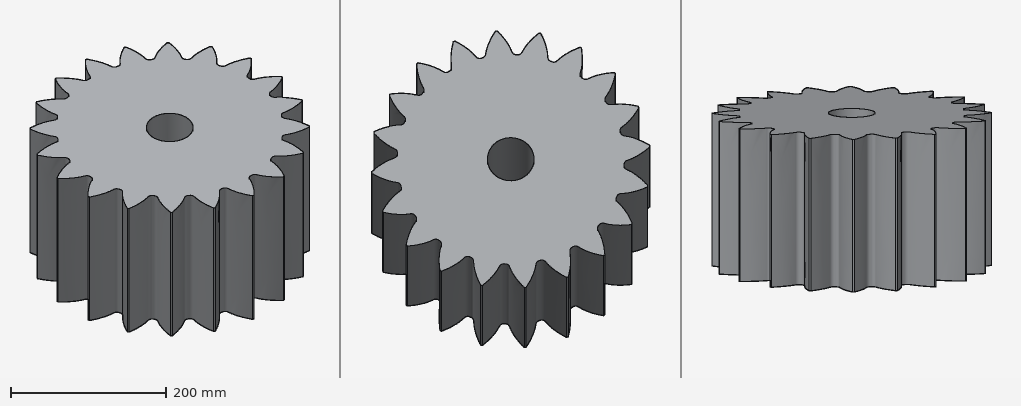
import cadquery as cq
import math

TEETH = 20
TIP_RADIUS = 180.0
PITCH_RADIUS = 162.0
ROOT_RADIUS = 146.0
PRESSURE_ANGLE = math.radians(29.5)
ROOT_FILLET_RADIUS = 5.8
FACE_WIDTH = 200.0
BORE_DIAMETER = 60.0

FLANK_POINTS = 7
BASE_RADIUS = PITCH_RADIUS * math.cos(PRESSURE_ANGLE)
TOOTH_PITCH = 2 * math.pi / TEETH
HALF_TOOTH_AT_PITCH = TOOTH_PITCH / 4


def polar(radius, angle):
    return (radius * math.cos(angle), radius * math.sin(angle))


def involute(radius):
    """Polar angle swept by the base-circle involute on reaching a radius."""
    pressure_angle = math.acos(BASE_RADIUS / radius)
    return math.tan(pressure_angle) - pressure_angle


def half_tooth_angle(radius):
    """Angle between the tooth centreline and its flank at a radius."""
    return HALF_TOOTH_AT_PITCH + involute(PITCH_RADIUS) - involute(radius)


def flank(center_angle, side):
    """Flank points from root to tip; side is -1 (clockwise) or +1."""
    step = (TIP_RADIUS - ROOT_RADIUS) / (FLANK_POINTS - 1)
    radii = [ROOT_RADIUS + i * step for i in range(FLANK_POINTS)]
    return [polar(r, center_angle + side * half_tooth_angle(r)) for r in radii]


def base_plane():
    """Workplane on the lower end face."""
    return cq.Workplane("XY").workplane(offset=-FACE_WIDTH / 2)


def gear_outline():
    """Closed outline of involute flanks joined by tip and root arcs."""
    outline = base_plane().moveTo(*flank(0, -1)[0])
    for tooth in range(TEETH):
        center_angle = tooth * TOOTH_PITCH
        rising = flank(center_angle, -1)
        falling = flank(center_angle, 1)[::-1]
        tip_middle = polar(TIP_RADIUS, center_angle)
        space_middle = polar(ROOT_RADIUS, center_angle + TOOTH_PITCH / 2)
        next_tooth_root = flank(center_angle + TOOTH_PITCH, -1)[0]
        outline = (
            outline.spline(rising[1:], includeCurrent=True)
            .threePointArc(tip_middle, falling[0])
            .spline(falling[1:], includeCurrent=True)
            .threePointArc(space_middle, next_tooth_root)
        )
    return outline.close()


def fillet_roots(gear):
    """Round the axial corners where the flanks meet the root circle."""
    def is_at_root(edge):
        center = edge.Center()
        return math.hypot(center.x, center.y) < PITCH_RADIUS

    return gear.edges("|Z").filter(is_at_root).fillet(ROOT_FILLET_RADIUS)


def bore_cutter():
    """Cylinder for the central through bore."""
    return base_plane().circle(BORE_DIAMETER / 2).extrude(FACE_WIDTH)


gear = fillet_roots(gear_outline().extrude(FACE_WIDTH))
result = gear.cut(bore_cutter())